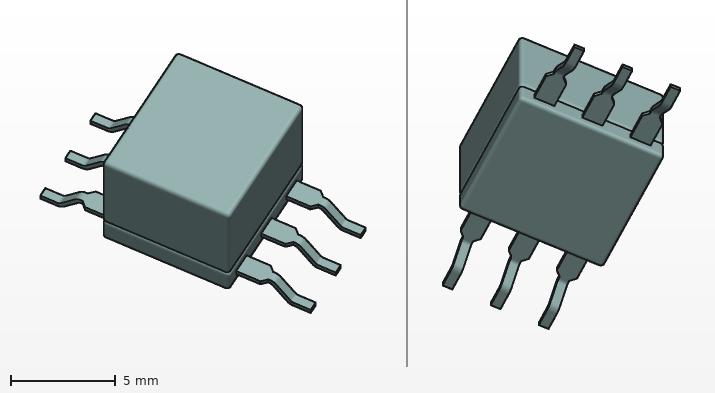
import cadquery as cq
import math

lead_span = 14.61
total_height = 6.35

body_x = 6.85
body_y = 7.63
base_bottom = 0.5
split_height = 1.77
edge_radius = 0.2

lead_pitch = 2.54
leads_per_side = 3
lead_thickness = 0.25
lead_bottom = 1.0
wide_width = 1.07
narrow_width = 0.51
wide_end = 4.73
bend_start = 5.08
bend_angle = 45.0
inner_bend_radius = 0.25
outer_bend_radius = inner_bend_radius + lead_thickness


def rounded_block(bottom, top):
    """Block with every edge rounded, between two heights."""
    return (
        cq.Workplane("XY", origin=(0, 0, bottom))
        .rect(body_x, body_y)
        .extrude(top - bottom)
        .edges()
        .fillet(edge_radius)
    )


def lead_side_profile():
    """Side outline of the right-hand lead, extruded to the full strip width."""
    half_angle_tan = math.tan(math.radians(bend_angle) / 2)
    corner_shift = lead_thickness * half_angle_tan
    slope_run = lead_bottom / math.tan(math.radians(bend_angle))

    root_x = body_x / 2
    tip_x = lead_span / 2
    upper_corner_x = bend_start + outer_bend_radius * half_angle_tan
    lower_corner_x = upper_corner_x + slope_run
    lead_top = lead_bottom + lead_thickness

    strip = (
        cq.Workplane("XZ")
        .moveTo(root_x, lead_top)
        .lineTo(upper_corner_x, lead_top)
        .lineTo(lower_corner_x, lead_thickness)
        .lineTo(tip_x, lead_thickness)
        .lineTo(tip_x, 0)
        .lineTo(lower_corner_x - corner_shift, 0)
        .lineTo(upper_corner_x - corner_shift, lead_bottom)
        .lineTo(root_x, lead_bottom)
        .close()
        .extrude(wide_width / 2, both=True)
    )

    def bend_edge(x, z):
        return cq.selectors.NearestToPointSelector((x, 0, z))

    outer_bends = bend_edge(upper_corner_x, lead_top) + bend_edge(lower_corner_x - corner_shift, 0)
    inner_bends = (
        bend_edge(upper_corner_x - corner_shift, lead_bottom)
        + bend_edge(lower_corner_x, lead_thickness)
    )
    strip = strip.edges(outer_bends).fillet(outer_bend_radius)
    return strip.edges(inner_bends).fillet(inner_bend_radius)


def lead_plan():
    """Plan outline of the right-hand lead: a wide root tapering at 45 degrees to a narrow foot."""
    taper_end = wide_end + (wide_width - narrow_width) / 2
    upper_half = [
        (body_x / 2, wide_width / 2),
        (wide_end, wide_width / 2),
        (taper_end, narrow_width / 2),
        (lead_span / 2, narrow_width / 2),
    ]
    lower_half = [(x, -y) for x, y in reversed(upper_half)]
    return (
        cq.Workplane("XY")
        .polyline(upper_half + lower_half)
        .close()
        .extrude(lead_bottom + lead_thickness)
    )


def make_lead():
    """Right-hand lead, butting against the side of the base."""
    return lead_side_profile().intersect(lead_plan())


case = rounded_block(split_height, total_height)
base = rounded_block(base_bottom, split_height)

lead = make_lead()
leads = []
for row in range(leads_per_side):
    row_y = (row - (leads_per_side - 1) / 2) * lead_pitch
    for side_angle in (0, 180):
        placed_lead = lead.rotate((0, 0, 0), (0, 0, 1), side_angle).translate((0, row_y, 0))
        leads.append(placed_lead.solids().val())

result = cq.Compound.makeCompound([case.solids().val(), base.solids().val(), *leads])